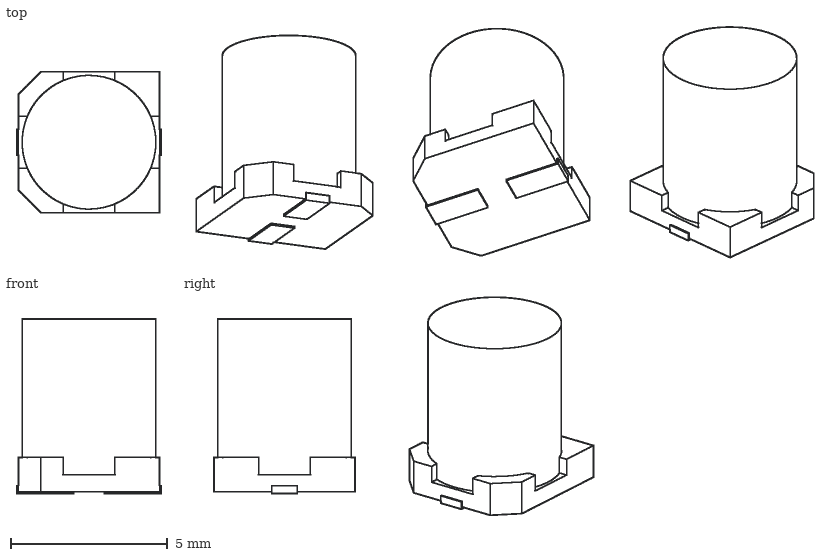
import cadquery as cq

base_width = 4.5
base_bottom = 0.055
base_top = 1.155
corner_chamfer = 0.72

channel_width = 1.645
channel_floor = 0.605

can_diameter = 4.265
can_top = 5.57

overall_length = 4.6
terminal_width = 0.815
terminal_gap = 0.98
terminal_top = 0.255
foot_thickness = base_bottom
tab_thickness = (overall_length - base_width) / 2


def box_between(x_range, width_y, z_range):
    """Box centred on Y that spans the given X and Z ranges."""
    x_min, x_max = x_range
    z_min, z_max = z_range
    return cq.Workplane("XY").box(
        x_max - x_min, width_y, z_max - z_min, centered=(False, True, False)
    ).translate((x_min, 0, z_min))


def make_can():
    """Plain cylinder standing on the channel floor."""
    return (
        cq.Workplane("XY", origin=(0, 0, channel_floor))
        .circle(can_diameter / 2)
        .extrude(can_top - channel_floor)
    )


def make_base(can):
    """Square base with two chamfered -X corners, crossed channels and a seat for the can."""
    half_width = base_width / 2
    base = box_between((-half_width, half_width), base_width, (base_bottom, base_top))
    base = base.edges("|Z and <X").chamfer(corner_chamfer)
    channel_z = (channel_floor, base_top)
    half_channel = channel_width / 2
    channel_along_x = box_between((-half_width, half_width), channel_width, channel_z)
    channel_along_y = box_between((-half_channel, half_channel), base_width, channel_z)
    return base.cut(channel_along_x).cut(channel_along_y).cut(can)


def make_terminal(side):
    """L-shaped terminal: a foot under the base and a tab up its end face; side is -1 or 1."""
    foot_length = (overall_length - terminal_gap) / 2
    inner_end = terminal_gap / 2
    outer_end = inner_end + foot_length
    foot = box_between((inner_end, outer_end), terminal_width, (0, foot_thickness))
    tab = box_between((outer_end - tab_thickness, outer_end), terminal_width, (0, terminal_top))
    terminal = foot.union(tab)
    return terminal if side > 0 else terminal.mirror("YZ")


can = make_can()
base = make_base(can)
terminals = [make_terminal(side) for side in (-1, 1)]

result = cq.Compound.makeCompound(
    [base.val(), can.val(), *[terminal.val() for terminal in terminals]]
)